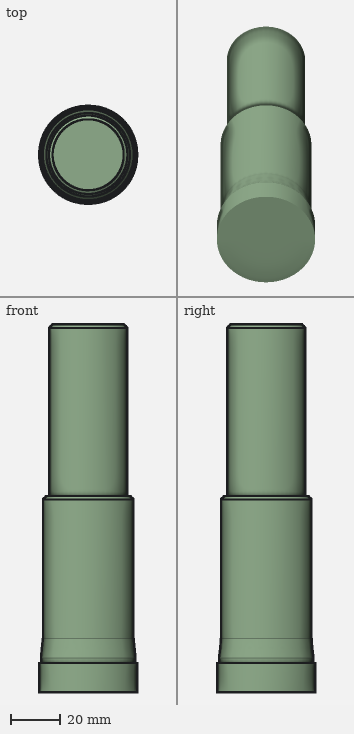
import cadquery as cq

total_length = 150.0

disc_diameter = 40.0
disc_height = 12.0

upper_diameter = 32.0
lower_diameter = 37.0
shoulder_height = 80.1
edge_chamfer = 1.5

collar_top_height = 22.0
collar_rim_diameter = 38.7
collar_foot_diameter = 38.1
undercut_height = 2.0


def make_disc():
    """Plain round disc resting on the XY plane."""
    return cq.Workplane("XY").circle(disc_diameter / 2).extrude(disc_height)


def make_shank():
    """Revolved shank with two chamfered steps and a flared collar at its foot."""
    upper_radius = upper_diameter / 2
    lower_radius = lower_diameter / 2
    collar_rim_radius = collar_rim_diameter / 2
    collar_foot_radius = collar_foot_diameter / 2
    flare_start = disc_height + undercut_height

    profile = (
        cq.Workplane("XZ")
        .moveTo(0, disc_height)
        .lineTo(collar_foot_radius, disc_height)
        .lineTo(collar_rim_radius, flare_start)
        .lineTo(lower_radius, collar_top_height)
        .lineTo(lower_radius, shoulder_height - edge_chamfer)
        .lineTo(lower_radius - edge_chamfer, shoulder_height)
        .lineTo(upper_radius, shoulder_height)
        .lineTo(upper_radius, total_length - edge_chamfer)
        .lineTo(upper_radius - edge_chamfer, total_length)
        .lineTo(0, total_length)
        .close()
    )
    return profile.revolve(360, (0, 0, 0), (0, 1, 0))


disc = make_disc()
shank = make_shank()

result = cq.Compound.makeCompound([disc.val(), shank.val()])